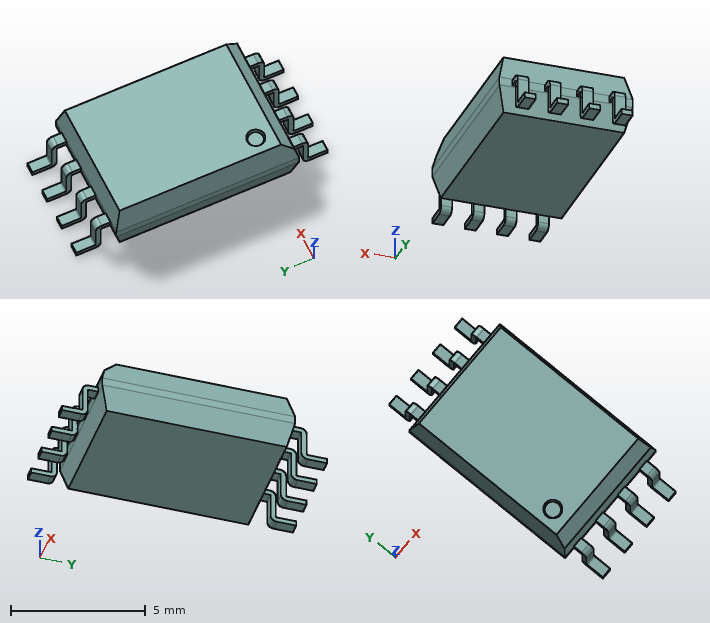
import cadquery as cq
import math

BODY_WIDTH = 5.25
BODY_LENGTH = 7.5
TOP_Z = 2.5
TAPER_HEIGHT = 1.0
TAPER_INSET = 0.25
BELT_HEIGHT = 0.33
BELT_TOP_Z = TOP_Z - TAPER_HEIGHT
BELT_BOTTOM_Z = BELT_TOP_Z - BELT_HEIGHT
DRAFT_ANGLE = math.degrees(math.atan(TAPER_INSET / TAPER_HEIGHT))

BEVEL_DROP = 0.5
BEVEL_WALL_Y = -BODY_LENGTH / 2 + TAPER_INSET * (TAPER_HEIGHT - BEVEL_DROP) / TAPER_HEIGHT

DIMPLE_X = -1.71
DIMPLE_Y = -2.4
DIMPLE_TOP_RADIUS = 0.355
DIMPLE_FLOOR_RADIUS = 0.3
DIMPLE_DEPTH = 0.1

LEADS_PER_SIDE = 4
LEAD_PITCH = 1.27
LEAD_WIDTH = 0.43
LEAD_THICKNESS = 0.21
LEAD_SPAN = 10.3
FOOT_LENGTH = 1.0
LEAD_EMBED = 0.5
INNER_BEND_RADIUS = 0.04
OUTER_BEND_RADIUS = INNER_BEND_RADIUS + LEAD_THICKNESS
LEAD_TOP_Z = (BELT_TOP_Z + BELT_BOTTOM_Z + LEAD_THICKNESS) / 2


def make_body():
    """Belt with a tapered half above and below it."""
    belt_outline = cq.Workplane("XY", origin=(0, 0, BELT_BOTTOM_Z)).rect(BODY_WIDTH, BODY_LENGTH)
    belt = belt_outline.extrude(BELT_HEIGHT)
    upper = belt.faces(">Z").workplane().rect(BODY_WIDTH, BODY_LENGTH)
    body = upper.extrude(TAPER_HEIGHT, taper=DRAFT_ANGLE)
    lower = body.faces("<Z").workplane().rect(BODY_WIDTH, BODY_LENGTH)
    return lower.extrude(TAPER_HEIGHT, taper=DRAFT_ANGLE)


def make_bevel_cutter():
    """Four-sided prism that removes the top edge at the -Y end."""
    low_end = (BEVEL_WALL_Y, TOP_Z - BEVEL_DROP)
    high_end = (BEVEL_WALL_Y + BEVEL_DROP, TOP_Z)
    outside_top = (-BODY_LENGTH / 2, TOP_Z)
    outside_bottom = (-BODY_LENGTH / 2, TOP_Z - BEVEL_DROP)
    profile = cq.Workplane("YZ").polyline([low_end, high_end, outside_top, outside_bottom]).close()
    return profile.extrude(BODY_WIDTH / 2, both=True)


def make_dimple_cutter():
    """Cone frustum that narrows downward from the top face."""
    mouth = cq.Workplane("XY", origin=(DIMPLE_X, DIMPLE_Y, TOP_Z)).circle(DIMPLE_TOP_RADIUS)
    floor = mouth.workplane(offset=-DIMPLE_DEPTH).circle(DIMPLE_FLOOR_RADIUS)
    return floor.loft(ruled=True)


def make_lead():
    """One lead on the +Y side, centred on X = 0, with both bends rounded."""
    toe_y = LEAD_SPAN / 2
    upright_inner_y = toe_y - FOOT_LENGTH
    upright_outer_y = upright_inner_y + LEAD_THICKNESS
    root_y = BODY_LENGTH / 2 - LEAD_EMBED
    shoulder_bottom_z = LEAD_TOP_Z - LEAD_THICKNESS
    outline = [
        (root_y, LEAD_TOP_Z),
        (upright_outer_y, LEAD_TOP_Z),
        (upright_outer_y, LEAD_THICKNESS),
        (toe_y, LEAD_THICKNESS),
        (toe_y, 0),
        (upright_inner_y, 0),
        (upright_inner_y, shoulder_bottom_z),
        (root_y, shoulder_bottom_z),
    ]
    lead = cq.Workplane("YZ").polyline(outline).close().extrude(LEAD_WIDTH / 2, both=True)

    def bend_edge(y, z):
        return cq.selectors.NearestToPointSelector((0, y, z))

    lead = lead.edges("|X").edges(bend_edge(upright_outer_y, LEAD_TOP_Z)).fillet(OUTER_BEND_RADIUS)
    lead = lead.edges("|X").edges(bend_edge(upright_inner_y, 0)).fillet(OUTER_BEND_RADIUS)
    lead = lead.edges("|X").edges(bend_edge(upright_outer_y, LEAD_THICKNESS)).fillet(INNER_BEND_RADIUS)
    return lead.edges("|X").edges(bend_edge(upright_inner_y, shoulder_bottom_z)).fillet(INNER_BEND_RADIUS)


result = make_body().cut(make_bevel_cutter()).cut(make_dimple_cutter())

back_lead = make_lead()
front_lead = back_lead.mirror("XZ")
for index in range(LEADS_PER_SIDE):
    lead_x = (index - (LEADS_PER_SIDE - 1) / 2) * LEAD_PITCH
    for lead in (back_lead, front_lead):
        result = result.union(lead.translate((lead_x, 0, 0)))